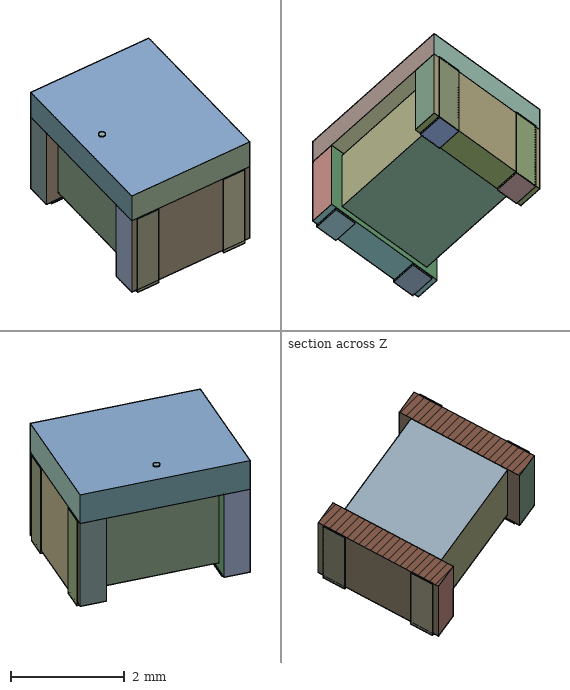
import cadquery as cq

overall_x = 3.24
overall_y = 2.5
overall_z = 2.4

strip_thickness = 0.02
foot_thickness = 0.05
foot_length = 0.51
terminal_width = 0.455
terminal_inset = 0.115

lid_height = 0.6
marker_height = 0.02
marker_diameter = 0.125
marker_offset_y = -0.81

flange_length = 0.5
block_recess_y = 0.25
block_top_gap = 0.078
block_height = 1.5

core_x = overall_x - 2 * strip_thickness
block_y = overall_y - 2 * block_recess_y
lid_top = overall_z - marker_height
lid_bottom = lid_top - lid_height
flange_height = lid_bottom - foot_thickness
block_bottom = lid_bottom - block_top_gap - block_height
flange_center_x = (core_x - flange_length) / 2
terminal_center_y = overall_y / 2 - terminal_inset - terminal_width / 2


def standing_box(x_size, y_size, height, bottom, center_x=0.0):
    """Box centred on Y = 0 with its lower face at the given level."""
    return (
        cq.Workplane("XY", origin=(center_x, 0, bottom))
        .rect(x_size, y_size)
        .extrude(height)
    )


def make_core():
    core = standing_box(core_x - 2 * flange_length, block_y, block_height, block_bottom)
    for side in (-1, 1):
        flange = standing_box(
            flange_length, overall_y, flange_height, foot_thickness, side * flange_center_x
        )
        core = core.union(flange)
    return core


def make_lid():
    return standing_box(core_x, overall_y, lid_height, lid_bottom)


def make_marker():
    return (
        cq.Workplane("XY", origin=(0, marker_offset_y, lid_top))
        .circle(marker_diameter / 2)
        .extrude(marker_height)
    )


def make_terminal(x_side, y_side):
    """L-shaped strip: upright on the flange's end face, foot under the flange."""
    outer_x = x_side * overall_x / 2
    flange_face_x = x_side * core_x / 2
    foot_tip_x = x_side * (overall_x / 2 - foot_length)
    profile = [
        (outer_x, 0),
        (outer_x, lid_bottom),
        (flange_face_x, lid_bottom),
        (flange_face_x, foot_thickness),
        (foot_tip_x, foot_thickness),
        (foot_tip_x, 0),
    ]
    return (
        cq.Workplane("XZ", origin=(0, y_side * terminal_center_y, 0))
        .polyline(profile)
        .close()
        .extrude(terminal_width / 2, both=True)
    )


core = make_core()
lid = make_lid()
marker = make_marker()
terminals = [make_terminal(x_side, y_side) for x_side in (-1, 1) for y_side in (-1, 1)]

result = cq.Compound.makeCompound(
    [core.val(), lid.val(), marker.val(), *[terminal.val() for terminal in terminals]]
)